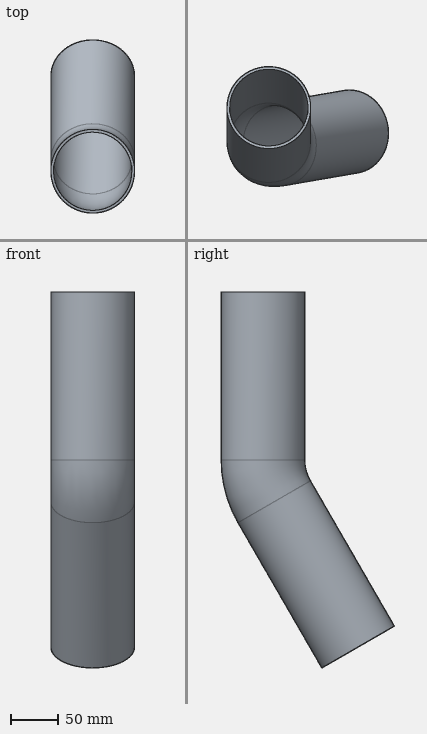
import cadquery as cq
import math

total_height = 398.5
outer_diameter = 89.0
inner_diameter = 83.0
bend_radius = outer_diameter
bend_angle = 30.0

angle = math.radians(bend_angle)
elbow_height = (bend_radius + outer_diameter / 2) * math.sin(angle)
leg_length = (total_height - elbow_height) / (1 + math.cos(angle))


def bend_point(turn):
    """Centreline point (y, z) after turning by the given angle around the elbow."""
    return (
        bend_radius * (1 - math.cos(turn)),
        -leg_length - bend_radius * math.sin(turn),
    )


bend_end = bend_point(angle)
lower_end = (
    bend_end[0] + leg_length * math.sin(angle),
    bend_end[1] - leg_length * math.cos(angle),
)
centreline = (
    cq.Workplane("YZ")
    .lineTo(0, -leg_length)
    .threePointArc(bend_point(angle / 2), bend_end)
    .lineTo(*lower_end)
)

result = (
    cq.Workplane("XY")
    .circle(outer_diameter / 2)
    .circle(inner_diameter / 2)
    .sweep(centreline)
)